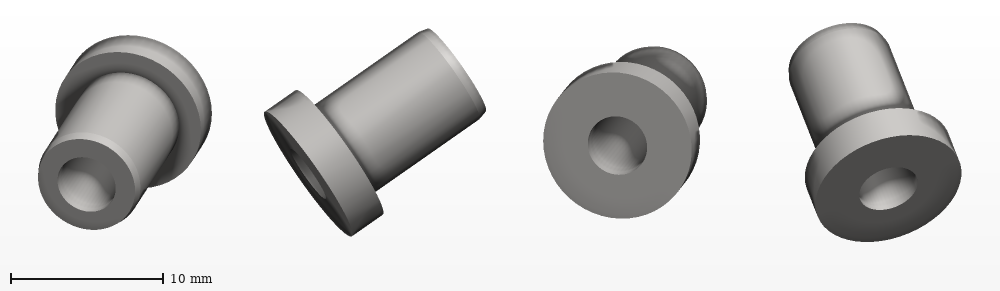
import cadquery as cq

total_length = 12.0
head_diameter = 10.0
head_thickness = 2.5
shank_diameter = 7.0
bore_diameter = 4.0

taper_length = 0.65
taper_depth = 0.17

shank_length = total_length - head_thickness


def make_shank():
    """Cylinder from the free end at Y = 0 to the head, tapered at the free end."""
    shank = cq.Workplane("XZ").circle(shank_diameter / 2).extrude(-shank_length)
    return shank.faces("<Y").chamfer(taper_length, taper_depth)


def make_head():
    """Plain disc that closes the +Y end of the shank."""
    return (
        cq.Workplane("XZ", origin=(0, shank_length, 0))
        .circle(head_diameter / 2)
        .extrude(-head_thickness)
    )


def make_bore():
    """Cylinder that passes through the whole length."""
    return cq.Workplane("XZ").circle(bore_diameter / 2).extrude(-total_length)


result = make_shank().union(make_head()).cut(make_bore())